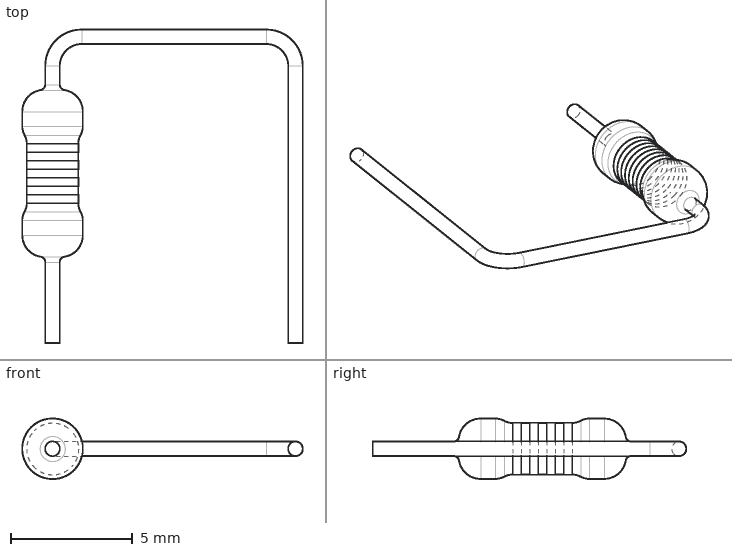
import cadquery as cq
import math

total_width = 11.55
total_length = 12.9

wire_radius = 0.6 / 2
bend_radius = 1.2

cap_radius = 2.5 / 2
core_radius = 2.13 / 2
band_radius = 2.14 / 2
band_width = 0.35
band_count = 4
neck_start = (band_count - 0.5) * band_width
body_center_y = 6.98
cap_start = 1.94
dome_start = 2.54
dome_radius = 0.9
dome_rim_radius = 0.52
body_half_length = 3.65

body_x = cap_radius
return_x = total_width - wire_radius
crossbar_y = total_length - wire_radius


def make_body_half():
    """Half of the body, revolved about the Y axis from its middle to one tip."""
    neck_middle = ((core_radius + cap_radius) / 2, (neck_start + cap_start) / 2)
    dome_center = cap_radius - dome_radius
    dome_rim_y = dome_start + math.sqrt(dome_radius**2 - (dome_rim_radius - dome_center) ** 2)
    dome_reach = dome_radius * math.sin(math.pi / 4)
    dome_middle = (dome_center + dome_reach, dome_start + dome_reach)
    collar_bulge = (1 - math.sqrt(0.5)) * (dome_rim_radius - wire_radius)
    profile = (
        cq.Workplane("XY")
        .lineTo(core_radius, 0)
        .lineTo(core_radius, neck_start)
        .tangentArcPoint(neck_middle, relative=False)
        .tangentArcPoint((cap_radius, cap_start), relative=False)
        .lineTo(cap_radius, dome_start)
        .threePointArc(dome_middle, (dome_rim_radius, dome_rim_y))
        .sagittaArc((wire_radius, body_half_length), collar_bulge)
        .lineTo(0, body_half_length)
        .close()
    )
    return profile.revolve(360, (0, 0, 0), (0, 1, 0))


def make_body():
    """Both halves of the body, with raised colour bands around the core."""
    half = make_body_half()
    body = half.union(half.mirror("XZ"))
    for index in range(band_count):
        band_end = (2 * index - (band_count - 1) + 0.5) * band_width
        band = (
            cq.Workplane("XZ", origin=(0, band_end, 0))
            .circle(band_radius)
            .extrude(band_width)
        )
        body = body.union(band)
    return body.translate((body_x, body_center_y, 0))


def make_lead():
    """One wire through the body, bent twice to come back alongside it."""
    bend_y = crossbar_y - bend_radius
    path = (
        cq.Workplane("XY")
        .moveTo(body_x, 0)
        .lineTo(body_x, bend_y)
        .tangentArcPoint((bend_radius, bend_radius))
        .lineTo(return_x - bend_radius, crossbar_y)
        .tangentArcPoint((bend_radius, -bend_radius))
        .lineTo(return_x, 0)
    )
    return cq.Workplane("XZ", origin=(body_x, 0, 0)).circle(wire_radius).sweep(path)


result = make_lead().union(make_body())